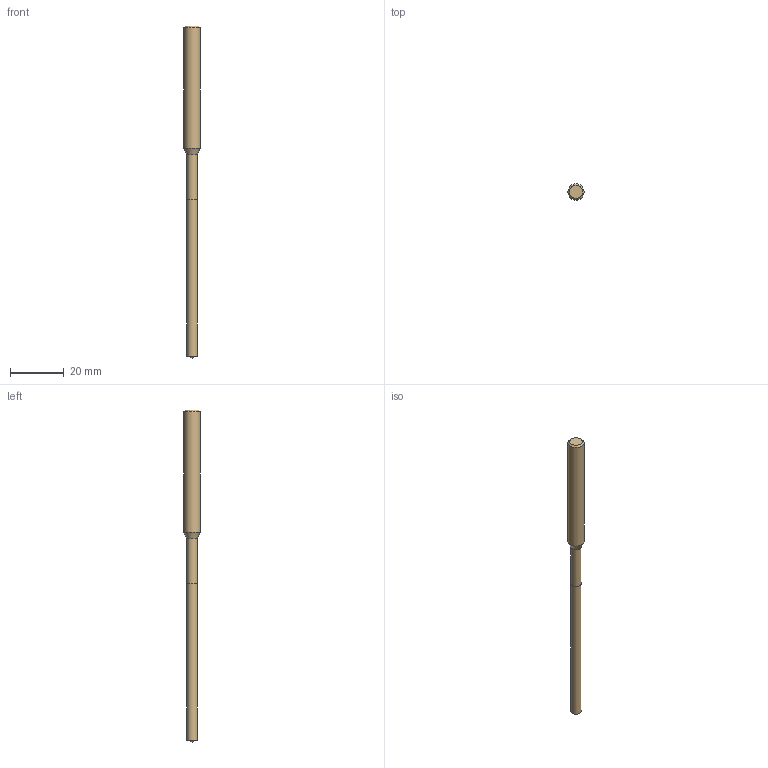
import cadquery as cq
import math

shank_diameter = 6.0
drill_diameter = 3.9
point_angle = 140.0
body_length = 123.0
shank_length = 45.6
taper_length = 2.3
cutting_length = 58.3
chamfer_width = 0.6
chamfer_height = 0.6

shank_radius = shank_diameter / 2
drill_radius = drill_diameter / 2
point_height = drill_radius / math.tan(math.radians(point_angle / 2))

joint_z = point_height + cutting_length
top_z = point_height + body_length
taper_top_z = top_z - shank_length
taper_bottom_z = taper_top_z - taper_length


def turned(profile):
    """Revolve a closed (radius, height) profile about Z, with its seam at -Y."""
    points = [(-radius, height) for radius, height in profile]
    return cq.Workplane("YZ").polyline(points).close().revolve(360, (0, 0), (0, 1))


def make_shank():
    """Chamfered clamping shank that tapers down to a neck of the drill diameter."""
    return turned([
        (0, joint_z),
        (drill_radius, joint_z),
        (drill_radius, taper_bottom_z),
        (shank_radius, taper_top_z),
        (shank_radius, top_z - chamfer_height),
        (shank_radius - chamfer_width, top_z),
        (0, top_z),
    ])


def make_cutting_section():
    """Plain cylinder with a conical point, meeting the neck end to end."""
    return turned([
        (0, 0),
        (drill_radius, point_height),
        (drill_radius, joint_z),
        (0, joint_z),
    ])


shank = make_shank()
cutting_section = make_cutting_section()

result = cq.Compound.makeCompound([shank.val(), cutting_section.val()])